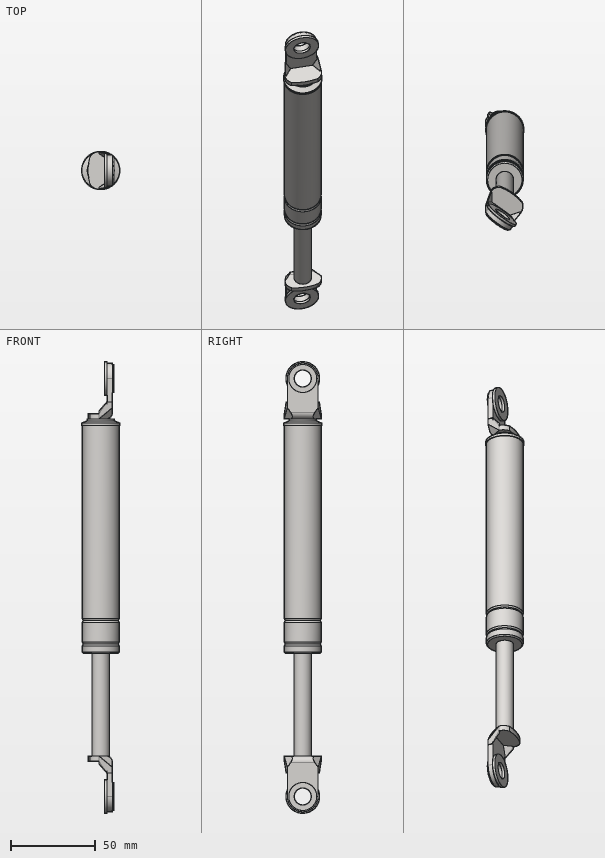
import cadquery as cq

TOTAL_LENGTH = 266.0
BRACKET_HEIGHT = 33.8

TUBE_DIAMETER = 21.8
TUBE_BOTTOM = 94.2
BOTTOM_CHAMFER = 0.8
RIM_DIAMETER = 22.5
RIM_BOTTOM = 228.2
RIM_TOP = 229.8
NECK_DIAMETER = 16.0
NECK_BOTTOM = 231.2
GROOVE_WIDTH = 2.0
GROOVE_DEPTH = 0.5
GROOVE_CENTRES = (99.8, 113.5)

ROD_DIAMETER = 10.5

SHEET = 3.2
FOOT_WIDTH = 21.8
FOOT_BACK_X = -7.5
FOOT_CORNER_X = -6.5
FOOT_CORNER_Y = 8.0
FOOT_SHOULDER_X = -1.0
FOOT_ROUND_X = -4.3
FOOT_ROUND_Y = 10.0
PLATE_INNER_X = 3.7
PLATE_OUTER_X = PLATE_INNER_X + SHEET
PLATE_WIDTH = 18.0
BEND_RADIUS = 3.7
GUSSET_FOOT_X = -2.5
GUSSET_HEIGHT = 10.0
GUSSET_INNER_Y = 6.6
RELIEF_HEIGHT = 6.6
RELIEF_INNER_Y = 4.5
BOSS_DIAMETER = 16.5
BOSS_THICKNESS = 0.8

EYE_BORE = 9.8
WASHER_DIAMETER = 20.0
WASHER_THICKNESS = 1.5

half_foot = FOOT_WIDTH / 2
half_plate = PLATE_WIDTH / 2
eye_height = BRACKET_HEIGHT - WASHER_DIAMETER / 2
upper_mount = TOTAL_LENGTH - BRACKET_HEIGHT


def tetrahedron(a, b, c, d):
    """Solid bounded by the four triangles between four corner points."""
    triangles = ((a, b, c), (a, b, d), (a, c, d), (b, c, d))
    faces = []
    for triangle in triangles:
        corners = [cq.Vector(*point) for point in triangle]
        faces.append(cq.Face.makeFromWires(cq.Wire.makePolygon(corners, close=True)))
    return cq.Workplane(cq.Solid.makeSolid(cq.Shell.makeShell(faces)))


def x_disc(diameter, start_x, length):
    """Disc along X on the axis of the eye."""
    disc = cq.Workplane("YZ", origin=(start_x, 0, eye_height))
    return disc.circle(diameter / 2).extrude(length)


def foot_prism(height):
    """Prism on the foot outline: bowed back, round corners, sides tapering to the plate."""
    return (
        cq.Workplane("XY")
        .moveTo(PLATE_OUTER_X, -half_plate)
        .lineTo(PLATE_OUTER_X, half_plate)
        .lineTo(FOOT_SHOULDER_X, half_foot)
        .threePointArc((FOOT_ROUND_X, FOOT_ROUND_Y), (FOOT_CORNER_X, FOOT_CORNER_Y))
        .threePointArc((FOOT_BACK_X, 0), (FOOT_CORNER_X, -FOOT_CORNER_Y))
        .threePointArc((FOOT_ROUND_X, -FOOT_ROUND_Y), (FOOT_SHOULDER_X, -half_foot))
        .close()
        .extrude(height)
    )


def taper_y(x):
    """Half width of the tapering sides at a given X."""
    fraction = (x - FOOT_SHOULDER_X) / (PLATE_OUTER_X - FOOT_SHOULDER_X)
    return half_foot + fraction * (half_plate - half_foot)


def corner_gusset(side):
    """Slanted web filling one inner corner of the bend, cut square at the foot's shoulder."""
    web = tetrahedron(
        (GUSSET_FOOT_X, side * half_foot, SHEET),
        (PLATE_INNER_X, side * taper_y(PLATE_INNER_X), GUSSET_HEIGHT),
        (PLATE_INNER_X, side * GUSSET_INNER_Y, SHEET),
        (PLATE_INNER_X, side * half_foot, SHEET),
    )
    gusset_space = (
        cq.Workplane("XY", origin=(FOOT_SHOULDER_X, 0, 0))
        .rect(PLATE_INNER_X - FOOT_SHOULDER_X, FOOT_WIDTH, centered=(False, True))
        .extrude(GUSSET_HEIGHT)
    )
    return web.intersect(gusset_space)


def corner_relief(side):
    """Bevel removed from the outer corner behind one gusset."""
    return tetrahedron(
        (FOOT_SHOULDER_X, side * half_foot, 0),
        (PLATE_OUTER_X, side * half_plate, RELIEF_HEIGHT),
        (PLATE_OUTER_X, side * RELIEF_INNER_Y, 0),
        (PLATE_OUTER_X, side * half_foot, 0),
    )


def make_plate():
    """Upright plate with a round head."""
    return (
        cq.Workplane("YZ", origin=(PLATE_INNER_X, 0, 0))
        .moveTo(-half_plate, 0)
        .lineTo(half_plate, 0)
        .lineTo(half_plate, eye_height)
        .threePointArc((0, eye_height + half_plate), (-half_plate, eye_height))
        .close()
        .extrude(SHEET)
    )


def bend_fill():
    """Flared foot of the plate, as high as the gussets."""
    root = (
        cq.Workplane("XY", origin=(PLATE_INNER_X, 0, 0))
        .rect(SHEET, FOOT_WIDTH, centered=(False, True))
        .extrude(GUSSET_HEIGHT)
    )
    return root.intersect(foot_prism(GUSSET_HEIGHT))


def make_bracket():
    """Bracket standing on Z = 0 with its eye upwards."""
    bracket = foot_prism(SHEET).union(bend_fill())
    for side in (-1, 1):
        bracket = bracket.union(corner_gusset(side).intersect(foot_prism(GUSSET_HEIGHT)))
    bracket = bracket.union(make_plate())
    bracket = bracket.faces("<Z").edges(">X").fillet(BEND_RADIUS)
    for side in (-1, 1):
        bracket = bracket.cut(corner_relief(side))
    boss = x_disc(BOSS_DIAMETER, PLATE_OUTER_X, BOSS_THICKNESS)
    bore = x_disc(EYE_BORE, PLATE_INNER_X, SHEET + BOSS_THICKNESS)
    return bracket.union(boss).cut(bore)


def make_washer():
    """Washer against the inner face of a bracket's eye."""
    start_x = PLATE_INNER_X - WASHER_THICKNESS
    washer = x_disc(WASHER_DIAMETER, start_x, WASHER_THICKNESS)
    return washer.cut(x_disc(EYE_BORE, start_x, WASHER_THICKNESS))


def make_cylinder():
    """Turned cylinder with two V grooves, a rolled rim and a neck."""
    tube_radius = TUBE_DIAMETER / 2
    profile = (
        cq.Workplane("XZ")
        .moveTo(0, TUBE_BOTTOM)
        .lineTo(tube_radius - BOTTOM_CHAMFER, TUBE_BOTTOM)
        .lineTo(tube_radius, TUBE_BOTTOM + BOTTOM_CHAMFER)
    )
    for centre in GROOVE_CENTRES:
        profile = (
            profile.lineTo(tube_radius, centre - GROOVE_WIDTH / 2)
            .lineTo(tube_radius - GROOVE_DEPTH, centre)
            .lineTo(tube_radius, centre + GROOVE_WIDTH / 2)
        )
    return (
        profile.lineTo(tube_radius, RIM_BOTTOM)
        .lineTo(RIM_DIAMETER / 2, RIM_BOTTOM)
        .lineTo(RIM_DIAMETER / 2, RIM_TOP)
        .lineTo(NECK_DIAMETER / 2, NECK_BOTTOM)
        .lineTo(NECK_DIAMETER / 2, upper_mount)
        .lineTo(0, upper_mount)
        .close()
        .revolve(360, (0, 0, 0), (0, 1, 0))
    )


def make_rod():
    """Rod between the lower bracket and the cylinder."""
    rod = cq.Workplane("XY", origin=(0, 0, BRACKET_HEIGHT))
    return rod.circle(ROD_DIAMETER / 2).extrude(TUBE_BOTTOM - BRACKET_HEIGHT)


def at_both_ends(body):
    """One copy on the upper mount and one mirrored copy on the lower mount."""
    upper = body.translate((0, 0, upper_mount))
    lower = body.mirror("XY").translate((0, 0, BRACKET_HEIGHT))
    return [upper.val(), lower.val()]


cylinder = make_cylinder()
rod = make_rod()
brackets = at_both_ends(make_bracket())
washers = at_both_ends(make_washer())

result = cq.Compound.makeCompound([cylinder.val(), rod.val(), *brackets, *washers])